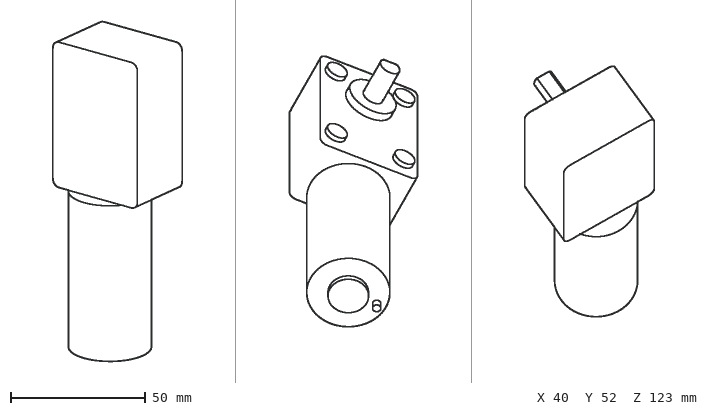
import cadquery as cq

box_width = 40.0
box_depth = 27.0
box_height = 57.9
corner_radius = 3.0

motor_diameter = 31.0
motor_length = 62.0
motor_overhang = 6.5
cap_diameter = 15.1
cap_height = 2.2
pin_diameter = 3.1
pin_offset = 11.7
total_height = 123.0
pin_length = total_height - box_height - motor_length

shaft_drop = 19.9
flange_diameter = 19.1
flange_height = 3.5
shaft_diameter = 8.0
shaft_reach = 18.5
flat_height = 3.0
flat_length = 14.0

boss_diameter = 8.1
boss_height = 2.0
boss_spacing_x = 27.8
boss_spacing_z = 40.0

motor_y = motor_diameter / 2 - motor_overhang
shaft_z = box_height - shaft_drop


def post_back(x, z, diameter, length):
    """Cylinder rising along +Y from the back face of the housing."""
    base = cq.Workplane("XZ", origin=(x, box_depth, z))
    return base.circle(diameter / 2).extrude(-length)


def post_down(x, top_z, diameter, length):
    """Cylinder hanging along -Z on the motor's centre plane."""
    base = cq.Workplane("XY", origin=(x, motor_y, top_z))
    return base.circle(diameter / 2).extrude(-length)


def make_housing():
    block = cq.Workplane("XY").box(box_width, box_depth, box_height, centered=(True, False, False))
    return block.edges("|Y").fillet(corner_radius)


def make_motor():
    can = post_down(0, 0, motor_diameter, motor_length)
    cap = post_down(0, -motor_length, cap_diameter, cap_height)
    pin = post_down(-pin_offset, -motor_length, pin_diameter, pin_length)
    return can.union(cap).union(pin)


def make_output_shaft():
    shaft = post_back(0, shaft_z, shaft_diameter, shaft_reach)
    flat_start_y = box_depth + shaft_reach - flat_length
    flat_cut = (
        cq.Workplane("XY", origin=(0, flat_start_y, shaft_z + flat_height))
        .box(shaft_diameter, flat_length, shaft_diameter, centered=(True, False, False))
    )
    return shaft.cut(flat_cut)


result = make_housing().union(make_motor())
result = result.union(post_back(0, shaft_z, flange_diameter, flange_height))
result = result.union(make_output_shaft())
for side_x in (-1, 1):
    for side_z in (-1, 1):
        boss_x = side_x * boss_spacing_x / 2
        boss_z = box_height / 2 + side_z * boss_spacing_z / 2
        result = result.union(post_back(boss_x, boss_z, boss_diameter, boss_height))